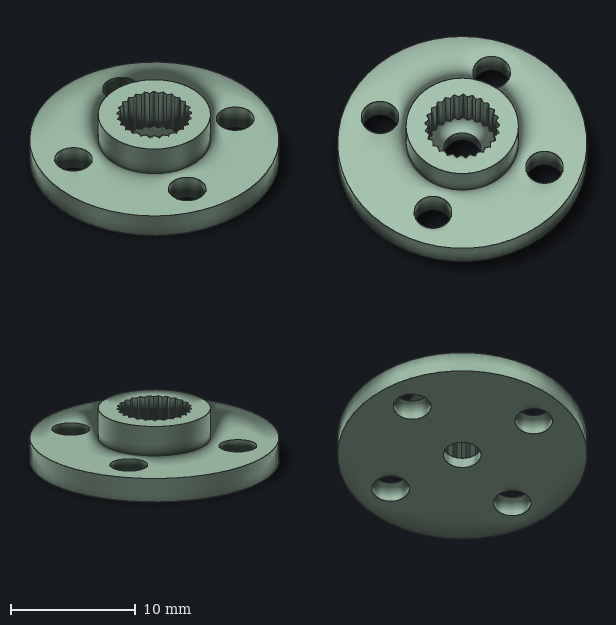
import cadquery as cq
import math

flange_diameter = 20.0
flange_thickness = 2.0
hub_diameter = 9.0
total_height = 4.5

hole_diameter = 3.0
mounting_hole_count = 4
mounting_circle_radius = 7.0

tooth_count = 25
groove_radius = 3.0
tooth_tip_radius = 2.75
socket_depth = 3.5


def polar_point(radius, angle):
    return (radius * math.cos(angle), radius * math.sin(angle))


def make_body():
    flange = cq.Workplane("XY").circle(flange_diameter / 2).extrude(flange_thickness)
    hub = cq.Workplane("XY").circle(hub_diameter / 2).extrude(total_height)
    return flange.union(hub)


def make_holes():
    """Center hole and the ring of mounting holes, all through the part."""
    center_hole = cq.Workplane("XY").circle(hole_diameter / 2).extrude(total_height)
    mounting_holes = (
        cq.Workplane("XY")
        .polarArray(mounting_circle_radius, 0, 360, mounting_hole_count)
        .circle(hole_diameter / 2)
        .extrude(total_height)
    )
    return center_hole.union(mounting_holes)


def make_socket():
    """Blind socket with V-shaped teeth; one groove points along +X."""
    tooth_pitch = 2 * math.pi / tooth_count
    outline = []
    for tooth in range(tooth_count):
        groove_angle = tooth * tooth_pitch
        outline.append(polar_point(groove_radius, groove_angle))
        outline.append(polar_point(tooth_tip_radius, groove_angle + tooth_pitch / 2))
    floor = cq.Workplane("XY").workplane(offset=total_height - socket_depth)
    return floor.polyline(outline).close().extrude(socket_depth)


result = make_body().cut(make_holes()).cut(make_socket())